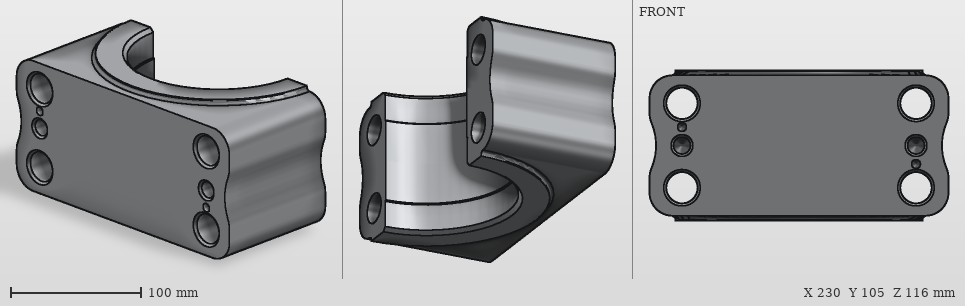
import cadquery as cq
import math

length = 230.0
depth = 105.0
block_height = 108.0
corner_radius = 18.0

waist_depth = 5.0
waist_radius = 45.0
waist_blend_radius = 20.0

overall_height = 116.0
collar_radius = 95.0
collar_foot_radius = 98.0
collar_rim_height = 1.0
bore_radius = 70.0
mouth_radius = 70.8
mouth_chamfer = 3.2
bore_band_half_height = 33.8

hole_x = 90.0
bolt_z = 32.5
bolt_diameter = 24.0
bolt_chamfer = 2.0
dowel_diameter = 13.0
dowel_chamfer = 1.8
dowel_depth = 27.5
pin_diameter = 7.0
pin_offset_z = 14.3
pin_depth = 13.8
drill_point_angle = 118.0

half_length = length / 2
half_block = block_height / 2
half_overall = overall_height / 2
front_y = -depth


def make_block():
    """Rounded block with a smoothly blended waist in each end."""
    angle = math.acos(1 - waist_depth / (waist_radius + waist_blend_radius))
    waist_z = waist_radius * math.sin(angle)
    waist_end_z = (waist_radius + waist_blend_radius) * math.sin(angle)
    waist_floor_x = half_length - waist_depth
    waist_x = waist_floor_x + waist_radius * (1 - math.cos(angle))
    blend_mid_x = half_length - waist_blend_radius * (1 - math.cos(angle / 2))
    blend_mid_z = waist_end_z - waist_blend_radius * math.sin(angle / 2)
    corner_x = half_length - corner_radius
    corner_z = half_block - corner_radius
    corner_mid = corner_radius * math.sqrt(0.5)
    quarter = (
        cq.Workplane("XZ")
        .lineTo(waist_floor_x, 0)
        .threePointArc(
            (waist_floor_x + waist_radius * (1 - math.cos(angle / 2)), waist_radius * math.sin(angle / 2)),
            (waist_x, waist_z),
        )
        .threePointArc((blend_mid_x, blend_mid_z), (half_length, waist_end_z))
        .lineTo(half_length, corner_z)
        .threePointArc((corner_x + corner_mid, corner_z + corner_mid), (corner_x, half_block))
        .lineTo(0, half_block)
        .close()
        .extrude(depth)
    )
    half = quarter.union(quarter.mirror("YZ"))
    return half.union(half.mirror("XY"))


def revolve_half(profile):
    """Half turn about Z of a radius-height profile, on the -Y side."""
    return profile.revolve(180, (0, 0, 0), (0, -1, 0))


def make_collars():
    """Half-round collars, standing proud of the top and bottom on a concave foot."""
    rim_z = half_overall - collar_rim_height
    foot_rise = rim_z - half_block
    foot_width = collar_foot_radius - collar_radius
    foot_mid_r = collar_foot_radius - foot_width * math.sqrt(0.5)
    foot_mid_z = half_block + foot_rise * (1 - math.sqrt(0.5))
    profile = (
        cq.Workplane("XZ")
        .lineTo(collar_foot_radius, 0)
        .lineTo(collar_foot_radius, half_block)
        .threePointArc((foot_mid_r, foot_mid_z), (collar_radius, rim_z))
        .lineTo(collar_radius, half_overall)
        .lineTo(0, half_overall)
        .close()
    )
    half = revolve_half(profile)
    return half.union(half.mirror("XY"))


def make_bore():
    """Bore with a narrower middle band and chamfered mouths."""
    step = mouth_radius - bore_radius
    profile = (
        cq.Workplane("XZ")
        .lineTo(bore_radius, 0)
        .lineTo(bore_radius, bore_band_half_height - step)
        .lineTo(mouth_radius, bore_band_half_height)
        .lineTo(mouth_radius, half_overall - mouth_chamfer)
        .lineTo(mouth_radius + mouth_chamfer, half_overall)
        .lineTo(0, half_overall)
        .close()
    )
    bore = profile.revolve(360, (0, 0, 0), (0, 1, 0))
    return bore.union(bore.mirror("XY"))


def make_hole(x, z, diameter, hole_depth, chamfer=0, pointed=True):
    """Cutter for a hole drilled along +Y from the front face."""
    radius = diameter / 2
    point = radius / math.tan(math.radians(drill_point_angle / 2)) if pointed else 0
    profile = cq.Workplane("XY").lineTo(radius + chamfer, 0)
    if chamfer:
        profile = profile.lineTo(radius, chamfer)
    profile = profile.lineTo(radius, hole_depth).lineTo(0, hole_depth + point).close()
    return profile.revolve(360, (0, 0, 0), (0, 1, 0)).translate((x, front_y, z))


result = make_block().union(make_collars()).cut(make_bore())

for side in (-1, 1):
    x = side * hole_x
    for z in (-bolt_z, bolt_z):
        result = result.cut(make_hole(x, z, bolt_diameter, depth, bolt_chamfer, pointed=False))
    result = result.cut(make_hole(x, 0, dowel_diameter, dowel_depth, dowel_chamfer))
    result = result.cut(make_hole(x, -side * pin_offset_z, pin_diameter, pin_depth))